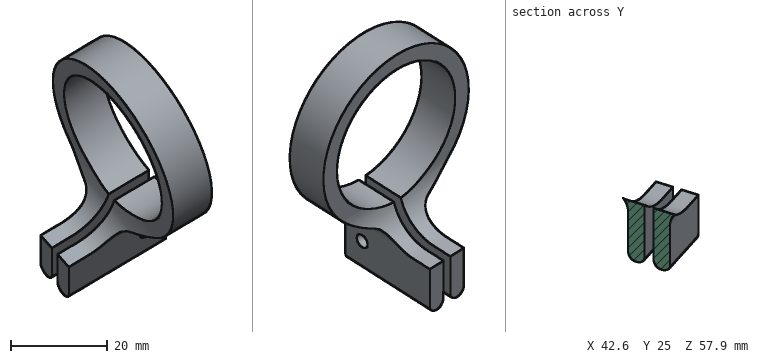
import cadquery as cq
import math

inner_radius = 17.3
wall = 4.0
outer_radius = inner_radius + wall
ring_width = 10.0

slot_width = 2.0
ear_thickness = 4.0
ear_length = 25.0
ear_bottom = -36.56
ear_height = 12.0
ear_top = ear_bottom + ear_height
ear_outer_x = slot_width / 2 + ear_thickness
ear_end_radius = ear_thickness / 2

side_blend_radius = 5.0
front_blend_radius = 10.0

screw_diameter = 3.2
screw_y = -ring_width / 2
screw_drop = 4.0
screw_z = ear_top - screw_drop

clearance = 1.0


def disc(radius, depth):
    """Cylinder along Y from the back face forward."""
    return cq.Workplane("XZ").circle(radius).extrude(depth)


def ear(side):
    """Full-length ear on one side of the slot, blended into the ring's outside."""
    blend_x = ear_outer_x + side_blend_radius
    blend_reach = outer_radius + side_blend_radius
    blend_z = -math.sqrt(blend_reach**2 - blend_x**2)
    ring_touch_x = blend_x * outer_radius / blend_reach
    ring_touch_z = blend_z * outer_radius / blend_reach

    end_angle = math.atan2(-blend_z, -blend_x)
    mid_angle = (math.pi + end_angle) / 2
    blend_mid_x = blend_x + side_blend_radius * math.cos(mid_angle)
    blend_mid_z = blend_z + side_blend_radius * math.sin(mid_angle)

    slot_x = slot_width / 2
    ear_mid_x = slot_x + ear_end_radius
    round_z = ear_bottom + ear_end_radius
    return (
        cq.Workplane("XZ")
        .moveTo(0, 0)
        .lineTo(side * ring_touch_x, ring_touch_z)
        .threePointArc((side * blend_mid_x, blend_mid_z), (side * ear_outer_x, blend_z))
        .lineTo(side * ear_outer_x, round_z)
        .threePointArc((side * ear_mid_x, ear_bottom), (side * slot_x, round_z))
        .lineTo(side * slot_x, 0)
        .close()
        .extrude(ear_length)
    )


def front_relief():
    """Space ahead of the ring and above the ears, ending in a concave sweep."""
    half_width = outer_radius + clearance
    sweep_y = -ring_width - front_blend_radius
    sweep_z = ear_top + front_blend_radius
    sweep_offset = front_blend_radius * math.sqrt(0.5)
    front_y = -ear_length - clearance
    top_z = outer_radius + clearance
    return (
        cq.Workplane("YZ", origin=(-half_width, 0, 0))
        .moveTo(-ring_width, top_z)
        .lineTo(-ring_width, sweep_z)
        .threePointArc((sweep_y + sweep_offset, sweep_z - sweep_offset), (sweep_y, ear_top))
        .lineTo(front_y, ear_top)
        .lineTo(front_y, top_z)
        .close()
        .extrude(2 * half_width)
    )


def slot():
    """Gap between the ears, open from the bore down."""
    return cq.Workplane("XY").box(
        slot_width, ear_length, -ear_bottom, centered=(True, False, False)
    ).translate((0, -ear_length, ear_bottom))


def screw_hole():
    half_length = ear_outer_x + clearance
    return (
        cq.Workplane("YZ", origin=(-half_length, screw_y, screw_z))
        .circle(screw_diameter / 2)
        .extrude(2 * half_length)
    )


body = disc(outer_radius, ear_length).union(ear(-1)).union(ear(1))
result = (
    body.cut(front_relief())
    .cut(disc(inner_radius, ear_length))
    .cut(slot())
    .cut(screw_hole())
)